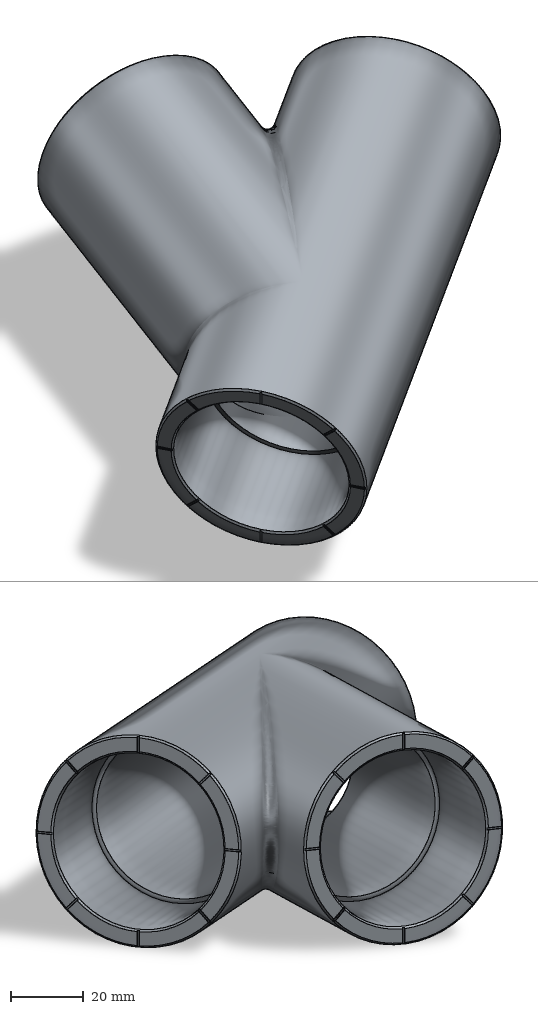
import cadquery as cq
import math

run_length = 139.8
outer_diameter = 60.3
bore_diameter = 47.4
socket_diameter = 50.0
socket_depth = 31.0
run_below_junction = 43.8
branch_length = 95.3
branch_angle = 45.0

rim_chamfer = 0.5
seam_fillet = 2.4
seam_fade_height = 0.4
notch_count = 8
notch_width = 0.5
notch_depth = 0.3
tool_clearance = 1.4

outer_radius = outer_diameter / 2
bore_radius = bore_diameter / 2
socket_radius = socket_diameter / 2
run_above_junction = run_length - run_below_junction

junction = cq.Vector(0, 0, 0)
run_up = cq.Vector(0, 1, 0)
run_down = cq.Vector(0, -1, 0)
branch_out = cq.Vector(
    -math.sin(math.radians(branch_angle)),
    math.cos(math.radians(branch_angle)),
    0,
)

arms = [
    (run_above_junction, run_up),
    (run_below_junction, run_down),
    (branch_length, branch_out),
]


def cylinder(radius, length, start, direction):
    return cq.Workplane(cq.Solid.makeCylinder(radius, length, start, direction))


def cone(start_radius, end_radius, length, start, direction):
    return cq.Workplane(cq.Solid.makeCone(start_radius, end_radius, length, start, direction))


def crossing_pipes():
    """Two equal solid pipes that meet at the junction."""
    run = cylinder(outer_radius, run_length, run_down * run_below_junction, run_up)
    branch = cylinder(outer_radius, branch_length, junction, branch_out)
    return run.union(branch)


def filleted_middle(pipes):
    """Slab through the pipes, with the seams between them filleted.

    The pipe walls run level into each other at the top and bottom of the seams, so
    the slab stops just short of there, where the fillet has faded out.
    """
    slab_side = 2 * (run_length + branch_length)
    slab_height = outer_diameter - 2 * seam_fade_height
    middle = pipes.intersect(cq.Workplane().box(slab_side, slab_side, slab_height))
    return middle.edges("%ELLIPSE").fillet(seam_fillet)


def arm_bore(length, direction):
    """Hollow of one arm: a bore, a wider socket and a chamfered mouth."""
    socket_floor = direction * (length - socket_depth)
    chamfer_start = direction * (length - rim_chamfer)
    bore = cylinder(bore_radius, length, junction, direction)
    socket = cylinder(socket_radius, socket_depth, socket_floor, direction)
    mouth = cone(socket_radius, socket_radius + rim_chamfer, rim_chamfer, chamfer_start, direction)
    return bore.union(socket).union(mouth)


def rim_trim(length, direction):
    """Ring of material taken off by the outer chamfer at the end of one arm."""
    chamfer_start = direction * (length - rim_chamfer)
    ring = cylinder(outer_radius + tool_clearance, rim_chamfer, chamfer_start, direction)
    kept = cone(outer_radius, outer_radius - rim_chamfer, rim_chamfer, chamfer_start, direction)
    return ring.cut(kept)


def rim_notches(length, direction):
    """Shallow radial notches around one end face, cut in opposite pairs by crossing bars."""
    end_face = cq.Workplane(cq.Plane(direction * length, (0, 0, 1), direction))
    bar_length = outer_diameter + 2 * tool_clearance
    bars = cq.Workplane()
    for pair in range(notch_count // 2):
        turned_face = end_face.transformed(rotate=(0, 0, 360 * pair / notch_count))
        bars = bars.add(turned_face.rect(bar_length, notch_width).extrude(-notch_depth))
    return bars.combine()


pipes = crossing_pipes()
result = pipes.union(filleted_middle(pipes))
for make_cutter in (arm_bore, rim_trim, rim_notches):
    for arm_length, arm_direction in arms:
        result = result.cut(make_cutter(arm_length, arm_direction))